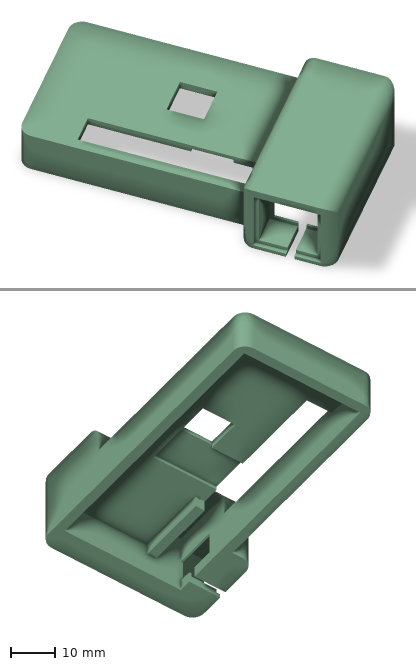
import cadquery as cq

length = 77.95
depth = 43.25
height = 19.0
corner_radius = 3.3

body_front = 6.0
body_height = 10.9
block_width = 22.5
block_left = length - block_width

wall = 2.5
cavity_front = 8.6
roof = 2.0
roof_bottom = body_height - roof

slot_left = 13.5
slot_right = 71.8
slot_back = 15.5
slot_top = 16.45
rib_left = 52.9
rib_bottom = 5.9

window_left = 29.2
window_front = 24.1
window_size = 9.0

relief_left = window_left + window_size
relief_back = window_front + window_size
relief_right = 48.3
relief_depth = 0.9

step = 1.0
socket_left = block_left + corner_radius
socket_width = 16.05
socket_height = 15.9
socket_depth = 8.0
port_height = 6.1
keyway_width = 2.0
keyway_center = 67.5


def box(x0, x1, y0, y1, z0, z1):
    """Box between two limits on each axis."""
    return cq.Workplane("XY").box(x1 - x0, y1 - y0, z1 - z0, centered=False).translate((x0, y0, z0))


def flat_body():
    slab = box(0, length, body_front, depth, 0, body_height)
    return slab.edges("|Z").fillet(corner_radius)


def end_block():
    """Block whose rounded elevation and rounded plan meet in mitred corners."""
    blank = box(block_left, length, 0, depth, 0, height)
    elevation = blank.edges("|Y and >Z").fillet(corner_radius)
    plan = blank.edges("|Z and (<Y or (>X and >Y))").fillet(corner_radius)
    return elevation.intersect(plan)


def underside():
    """Cavity under the roof, with a hanging rib and a thinned strip of roof."""
    cavity = box(wall, slot_right, cavity_front, depth - wall, 0, roof_bottom)
    rib = box(rib_left, length, slot_back, slot_back + wall, rib_bottom, roof_bottom)
    relief = box(relief_left, relief_right, slot_back, relief_back, 0, roof_bottom + relief_depth)
    return cavity.cut(rib).union(relief)


def long_slot():
    low = box(slot_left, slot_right, cavity_front, slot_back, 0, body_height)
    tall = box(block_left, slot_right, cavity_front, slot_back, 0, slot_top)
    return low.union(tall)


def square_window():
    return box(
        window_left, window_left + window_size,
        window_front, window_front + window_size,
        0, body_height,
    )


def socket():
    """Shallow rim, deeper recess, port into the slot and a keyway through the floor."""
    socket_right = socket_left + socket_width
    socket_top = step + socket_height
    rim = box(socket_left, socket_right, 0, step, step, socket_top)
    recess = box(socket_left + step, socket_right - step, 0, socket_depth, 2 * step, socket_top - step)
    port_left = socket_left + 2 * step
    port = box(port_left, slot_right, 0, cavity_front, 3 * step, 3 * step + port_height)
    keyway_left = keyway_center - keyway_width / 2
    keyway = box(keyway_left, keyway_left + keyway_width, 0, cavity_front, 0, 3 * step)
    return rim.union(recess).union(port).union(keyway)


result = flat_body().union(end_block())
for opening in (underside(), long_slot(), square_window(), socket()):
    result = result.cut(opening)